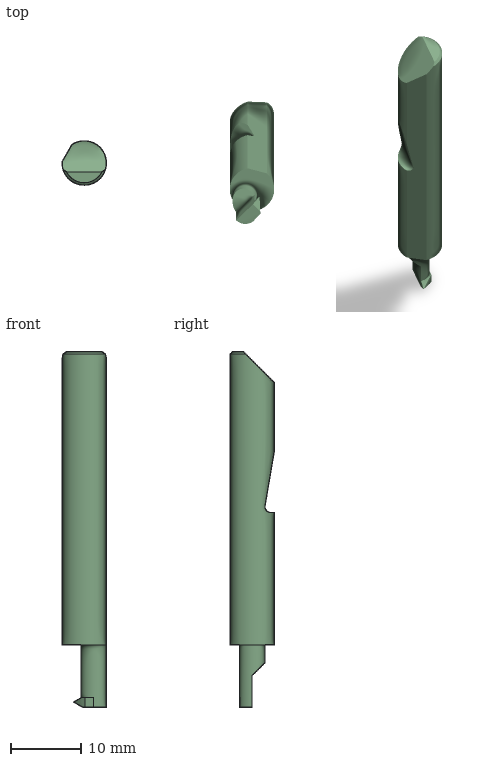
import cadquery as cq
import math

TOTAL_LENGTH = 50.8
SHANK_DIAMETER = 6.35
SHANK_RADIUS = SHANK_DIAMETER / 2
SHANK_BOTTOM = 8.95
TOP_CHAMFER = 0.35
BEVEL_EDGE_Y = -1.25
FLAT_DISTANCE = 2.85
FLAT_ANGLE = 150.0

NOTCH_BOTTOM = 27.85
NOTCH_TOP = 36.7
NOTCH_FLOOR_Y = 1.85
NOTCH_RADIUS = 0.8
NOTCH_SLOPE = 9.6

NECK_RADIUS = 1.85
NECK_X = SHANK_RADIUS - NECK_RADIUS
HALF_NECK_TOP = 4.55

TIP_X = -1.5
TIP_Z = 0.75
TOOTH_HEIGHT = 1.4
FLANK_ANGLE = 30.0
HEEL_X = 0.1
HEEL_Y = -1.8
TOOTH_RIGHT = NECK_X

CLEARANCE = 1.0
CUT_WIDTH = 4 * SHANK_RADIUS


def side_prism(outline):
    """Prism along X, centred on the shank axis, from an outline of (y, z) points."""
    return cq.Workplane("YZ").polyline(outline).close().extrude(CUT_WIDTH / 2, both=True)


def make_shank():
    shank = (
        cq.Workplane("XY", origin=(0, 0, SHANK_BOTTOM))
        .circle(SHANK_RADIUS)
        .extrude(TOTAL_LENGTH - SHANK_BOTTOM)
        .faces(">Z")
        .chamfer(TOP_CHAMFER)
    )
    side_flat = (
        cq.Workplane("XY")
        .box(CUT_WIDTH, CUT_WIDTH, TOTAL_LENGTH, centered=(False, True, False))
        .translate((FLAT_DISTANCE, 0, 0))
        .rotate((0, 0, 0), (0, 0, 1), FLAT_ANGLE)
    )
    bevel_run = SHANK_RADIUS + CLEARANCE - BEVEL_EDGE_Y
    bevel = side_prism([
        (BEVEL_EDGE_Y, TOTAL_LENGTH),
        (BEVEL_EDGE_Y + bevel_run, TOTAL_LENGTH - bevel_run),
        (BEVEL_EDGE_Y + bevel_run, TOTAL_LENGTH),
    ])
    return shank.cut(side_flat).cut(bevel).cut(make_notch())


def make_notch():
    """Flat lower wall, rounded root and a long ramp tangent to the root."""
    slope = math.radians(NOTCH_SLOPE)
    root_y = NOTCH_FLOOR_Y + NOTCH_RADIUS
    root_z = NOTCH_BOTTOM + NOTCH_RADIUS
    ramp_start = (
        root_y - NOTCH_RADIUS * math.cos(slope),
        root_z + NOTCH_RADIUS * math.sin(slope),
    )
    mid_angle = (math.pi / 2 - slope) / 2
    root_middle = (
        root_y - NOTCH_RADIUS * math.cos(mid_angle),
        root_z - NOTCH_RADIUS * math.sin(mid_angle),
    )
    outer_y = SHANK_RADIUS + CLEARANCE
    return (
        cq.Workplane("YZ")
        .moveTo(outer_y, NOTCH_BOTTOM)
        .lineTo(root_y, NOTCH_BOTTOM)
        .threePointArc(root_middle, ramp_start)
        .lineTo(SHANK_RADIUS, NOTCH_TOP)
        .lineTo(outer_y, NOTCH_TOP)
        .close()
        .extrude(CUT_WIDTH / 2, both=True)
    )


def make_neck():
    """Round pin, halved at the bottom by a flat that runs out at 45 degrees."""
    neck = cq.Workplane("XY").center(NECK_X, 0).circle(NECK_RADIUS).extrude(SHANK_BOTTOM)
    flat_run_out = NECK_RADIUS + CLEARANCE
    half_cut = side_prism([
        (0, -CLEARANCE),
        (0, HALF_NECK_TOP),
        (flat_run_out, HALF_NECK_TOP + flat_run_out),
        (flat_run_out, -CLEARANCE),
    ])
    tooth_seat = cq.Workplane("XY").box(
        CUT_WIDTH, CUT_WIDTH, TOOTH_HEIGHT, centered=(False, True, False)
    ).translate((TOOTH_RIGHT - CUT_WIDTH, 0, 0))
    return neck.cut(half_cut).cut(tooth_seat)


def make_tooth():
    """Pointed profile extruded toward -Y, trimmed by the clearance face."""
    flank_slope = math.tan(math.radians(FLANK_ANGLE))
    profile = [
        (TIP_X, TIP_Z),
        (TIP_X + TIP_Z / flank_slope, 0),
        (TOOTH_RIGHT, 0),
        (TOOTH_RIGHT, TOOTH_HEIGHT),
        (TIP_X + (TOOTH_HEIGHT - TIP_Z) / flank_slope, TOOTH_HEIGHT),
    ]
    plan = [(TIP_X, 0), (HEEL_X, HEEL_Y), (TOOTH_RIGHT, HEEL_Y), (TOOTH_RIGHT, 0)]
    pointed_bar = cq.Workplane("XZ").polyline(profile).close().extrude(-HEEL_Y)
    plan_prism = cq.Workplane("XY").polyline(plan).close().extrude(TOOTH_HEIGHT)
    return pointed_bar.intersect(plan_prism)


result = make_shank().union(make_neck()).union(make_tooth())